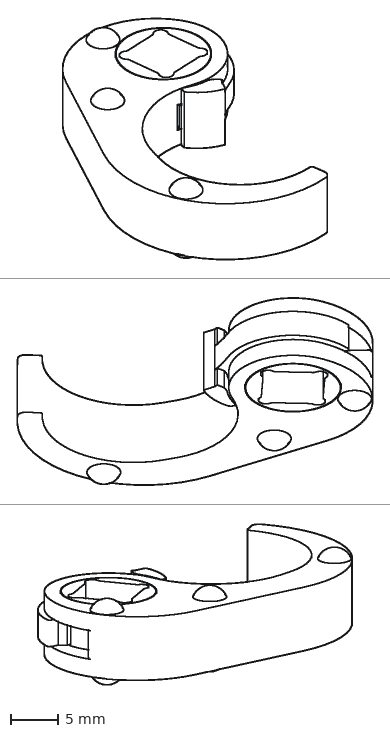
import cadquery as cq
import math


HOOK_HEIGHT = 7.05
BASE_Y = -11.5
HEAD_RADIUS = 6.83
HEEL_RADIUS = 9.9
BACK_RADIUS = 13.5
BACK_X = 17.2
MOUTH_RADIUS = 9.7
MOUTH_ANGLE = 11.0
MOUTH_SPAN = 1.5
MOUTH_TILT = 12.0
TIP_INNER = (25.65, 9.2)
TIP_OUTER_ANGLE = 39.4
TIP_INNER_FILLET = 0.3
TIP_OUTER_FILLET = 0.85

DRUM_RADIUS = 5.05
DRUM_CLEARANCE = 0.08
SQUARE_SIDE = 6.55
SQUARE_ANGLE = 33.5
LOBE_DISTANCE = 3.9
LOBE_RADIUS = 0.8
LOBE_BLEND = 0.45

PLATE_HEIGHT = 2.95
PLATE_CLEARANCE = 0.1
PLATE_RADIUS = 7.5
PLATE_END_Y = 0.7
PLATE_END_STEP = (-6.25, 0.65)
PLATE_END_ROOT = (-5.45, 0.08)
PLATE_END_FILLET = 0.35
PLATE_HEEL = (7.17, -0.3)
PLATE_SHOULDER_ANGLE = 52.0
SLOT_OUTER_RADIUS = 9.15
SLOT_START_ANGLE = -4.0
SLOT_WALL = [(-7.25, -5.3), (-5.0, -4.05), (-3.63, -3.5)]
SLOT_RIM_CORNER = (-6.68, -5.0)
SLOT_RIM_FILLET = 0.4
JAW_INNER_RADIUS = 7.05
JAW_INNER_TOP_ANGLE = 26.0
JAW_INNER_END_ANGLE = 1.0
JAW_HEEL = (7.3, -0.08)
JAW_TOE = (7.82, 0.08)
JAW_GRIP_MIDDLE = (8.5, 2.25)
JAW_NOSE = (8.45, 4.45)
JAW_SHOULDER = (7.02, 4.45)
JAW_BACK_TOP = (6.6, 4.6)
JAW_BACK = (6.25, 3.75)
JAW_FILLET = 0.15

RIVET_CENTRES = [(-4.4, -5.4), (7.25, -8.2), (26.45, -5.0)]
RIVET_HEAD_RADIUS = 1.8
RIVET_HEAD_HEIGHT = 1.2
RIVET_SHANK_RADIUS = 1.0


def polar(radius, angle, centre=(0, 0)):
    """Point at a radius and an angle in degrees about a centre."""
    turn = math.radians(angle)
    return (centre[0] + radius * math.cos(turn), centre[1] + radius * math.sin(turn))


def add_arc(sketch, centre, radius, start_angle, end_angle):
    """Continue an outline with an arc from start_angle to end_angle about a centre."""
    middle = polar(radius, (start_angle + end_angle) / 2, centre)
    return sketch.threePointArc(middle, polar(radius, end_angle, centre))


def extrude_centred(outline, height):
    """Extrude a closed outline equally up and down from the mid plane."""
    return outline.extrude(height / 2, both=True)


def cylinder(radius, height, centre=(0, 0)):
    """Upright cylinder centred on the mid plane."""
    return extrude_centred(cq.Workplane("XY").center(*centre).circle(radius), height)


def fillet_corner(body, corner, radius):
    """Round the upright edge nearest to a corner of the outline."""
    edge = cq.selectors.NearestToPointSelector((corner[0], corner[1], 0))
    return body.edges("|Z").edges(edge).fillet(radius)


def hook_blank():
    """Head, heel, straight base and curved back round an open mouth."""
    heel_y = BASE_Y + HEEL_RADIUS
    heel_x = math.sqrt((HEEL_RADIUS - HEAD_RADIUS) ** 2 - heel_y**2)
    heel_angle = math.degrees(math.atan2(-heel_y, -heel_x))
    back = (BACK_X, BASE_Y + BACK_RADIUS)
    near = polar(HEAD_RADIUS + MOUTH_RADIUS, MOUTH_ANGLE)
    far = polar(MOUTH_SPAN, MOUTH_TILT, near)
    tip_angle = math.degrees(math.atan2(TIP_INNER[1] - far[1], TIP_INNER[0] - far[0]))
    floor_angle = MOUTH_TILT - 90
    tip_inner = polar(MOUTH_RADIUS, tip_angle, far)
    tip_outer = polar(BACK_RADIUS, TIP_OUTER_ANGLE, back)

    outline = cq.Workplane("XY").moveTo(heel_x, BASE_Y).lineTo(BACK_X, BASE_Y)
    outline = add_arc(outline, back, BACK_RADIUS, -90, TIP_OUTER_ANGLE)
    outline = outline.lineTo(*tip_inner)
    outline = add_arc(outline, far, MOUTH_RADIUS, tip_angle, floor_angle)
    outline = outline.lineTo(*polar(MOUTH_RADIUS, floor_angle, near))
    outline = add_arc(outline, near, MOUTH_RADIUS, floor_angle, MOUTH_ANGLE - 180)
    outline = add_arc(outline, (0, 0), HEAD_RADIUS, MOUTH_ANGLE, heel_angle)
    outline = add_arc(outline, (heel_x, heel_y), HEEL_RADIUS, heel_angle, 270)
    blank = extrude_centred(outline.close(), HOOK_HEIGHT)

    blank = fillet_corner(blank, tip_inner, TIP_INNER_FILLET)
    return fillet_corner(blank, tip_outer, TIP_OUTER_FILLET)


def lever_slot():
    """Sector round the head in which the lever plate swings."""
    wall_x, wall_y = SLOT_WALL[0]
    end_angle = math.degrees(math.atan2(wall_y, wall_x)) + 360
    outline = cq.Workplane("XY").lineTo(*polar(SLOT_OUTER_RADIUS, SLOT_START_ANGLE))
    outline = add_arc(outline, (0, 0), SLOT_OUTER_RADIUS, SLOT_START_ANGLE, end_angle)
    for point in SLOT_WALL:
        outline = outline.lineTo(*point)
    return extrude_centred(outline.close(), PLATE_HEIGHT + 2 * PLATE_CLEARANCE)


def make_hook():
    """Hook with the drum bore, the lever slot and the rivet holes."""
    hook = hook_blank().cut(cylinder(DRUM_RADIUS + DRUM_CLEARANCE, HOOK_HEIGHT)).cut(lever_slot())
    for centre in RIVET_CENTRES:
        hook = hook.cut(cylinder(RIVET_SHANK_RADIUS, HOOK_HEIGHT, centre))
    return fillet_corner(hook, SLOT_RIM_CORNER, SLOT_RIM_FILLET)


def drive_hole():
    """Square hole with a round relief lobe blended into each corner."""
    half_side = SQUARE_SIDE / 2
    lobe_offset = LOBE_DISTANCE / math.sqrt(2)
    corner_side = 2 * (half_side - lobe_offset)
    hole = extrude_centred(cq.Workplane("XY").rect(SQUARE_SIDE, SQUARE_SIDE), HOOK_HEIGHT)
    corners = cq.Workplane("XY").rect(SQUARE_SIDE, SQUARE_SIDE, forConstruction=True).vertices()
    hole = hole.cut(extrude_centred(corners.rect(corner_side, corner_side), HOOK_HEIGHT))
    for quarter in range(4):
        hole = hole.union(cylinder(LOBE_RADIUS, HOOK_HEIGHT, polar(LOBE_DISTANCE, 45 + 90 * quarter)))

    half_chord = math.sqrt(LOBE_RADIUS**2 - (half_side - lobe_offset) ** 2)
    blend_offset = lobe_offset - half_chord
    for x, y in [(half_side, blend_offset), (blend_offset, half_side)]:
        for x_sign in (1, -1):
            for y_sign in (1, -1):
                hole = fillet_corner(hole, (x_sign * x, y_sign * y), LOBE_BLEND)
    return hole.rotate((0, 0, 0), (0, 0, 1), SQUARE_ANGLE)


def lever_plate():
    """Flat sector that swings in the slot and carries the jaw."""
    end_x = -math.sqrt(PLATE_RADIUS**2 - PLATE_END_Y**2)
    end_angle = math.degrees(math.atan2(PLATE_END_Y, end_x))
    outline = cq.Workplane("XY").lineTo(-DRUM_RADIUS, 0).lineTo(*PLATE_END_ROOT)
    outline = outline.lineTo(*PLATE_END_STEP).lineTo(end_x, PLATE_END_Y)
    outline = add_arc(outline, (0, 0), PLATE_RADIUS, end_angle, PLATE_SHOULDER_ANGLE)
    outline = outline.tangentArcPoint(JAW_SHOULDER, relative=False)
    outline = outline.lineTo(*JAW_GRIP_MIDDLE).lineTo(*JAW_TOE).lineTo(*JAW_HEEL)
    outline = outline.lineTo(*PLATE_HEEL).lineTo(DRUM_RADIUS, PLATE_HEEL[1])
    plate = extrude_centred(outline.close(), PLATE_HEIGHT)
    return fillet_corner(plate, (end_x, PLATE_END_Y), PLATE_END_FILLET)


def jaw():
    """Tooth that bears on the work, standing clear of the head."""
    outline = cq.Workplane("XY").moveTo(*JAW_TOE)
    outline = outline.threePointArc(JAW_GRIP_MIDDLE, JAW_NOSE)
    outline = outline.lineTo(*JAW_SHOULDER).lineTo(*JAW_BACK_TOP).lineTo(*JAW_BACK)
    outline = outline.lineTo(*polar(JAW_INNER_RADIUS, JAW_INNER_TOP_ANGLE))
    outline = add_arc(outline, (0, 0), JAW_INNER_RADIUS, JAW_INNER_TOP_ANGLE, JAW_INNER_END_ANGLE)
    tooth = extrude_centred(outline.lineTo(*JAW_HEEL).close(), HOOK_HEIGHT)
    return fillet_corner(tooth, JAW_NOSE, JAW_FILLET)


def make_lever():
    """Drum, plate and jaw in one piece, pierced by the drive hole."""
    return cylinder(DRUM_RADIUS, HOOK_HEIGHT).union(lever_plate()).union(jaw()).cut(drive_hole())


def make_rivet(centre):
    """Shank with a spherical domed head at each end."""
    face = HOOK_HEIGHT / 2
    crown = face + RIVET_HEAD_HEIGHT
    dome_radius = (RIVET_HEAD_RADIUS**2 + RIVET_HEAD_HEIGHT**2) / (2 * RIVET_HEAD_HEIGHT)
    dome_middle_x = RIVET_HEAD_RADIUS / 2
    dome_middle_z = crown - dome_radius + math.sqrt(dome_radius**2 - dome_middle_x**2)
    profile = (
        cq.Workplane("XZ")
        .moveTo(0, -crown)
        .threePointArc((dome_middle_x, -dome_middle_z), (RIVET_HEAD_RADIUS, -face))
        .lineTo(RIVET_SHANK_RADIUS, -face)
        .lineTo(RIVET_SHANK_RADIUS, face)
        .lineTo(RIVET_HEAD_RADIUS, face)
        .threePointArc((dome_middle_x, dome_middle_z), (0, crown))
        .close()
    )
    return profile.revolve(360, (0, 0), (0, 1)).translate((centre[0], centre[1], 0))


hook = make_hook()
lever = make_lever()
rivets = [make_rivet(centre) for centre in RIVET_CENTRES]

result = cq.Compound.makeCompound([hook.val(), lever.val(), *[rivet.val() for rivet in rivets]])